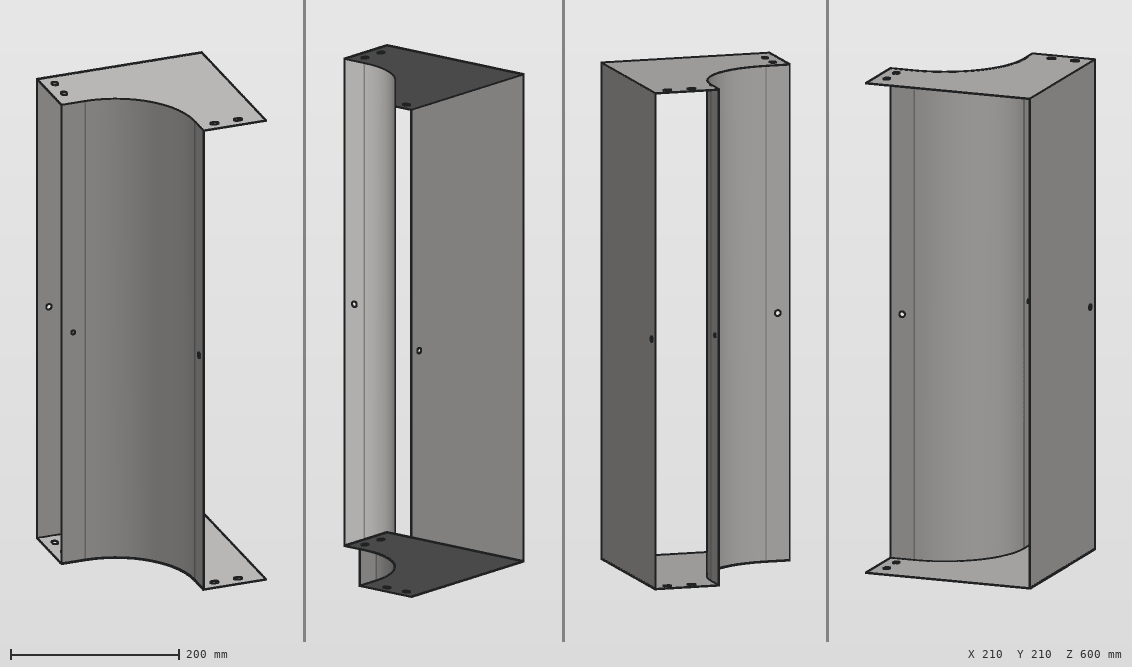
import cadquery as cq

SIDE = 210.0
HEIGHT = 600.0
SHEET = 1.0

DUCT_DEPTH = 80.0
BEND_RADIUS = 100.0

SLOT_COUNT = 2
SLOT_LENGTH = 10.0
SLOT_WIDTH = 7.0
SLOT_PITCH = 30.0
SLOT_END_DISTANCE = 15.0
FIRST_SLOT_FROM_LEFT = 20.0
FIRST_SLOT_FROM_BACK = 30.0

HOLE_END_DISTANCE = 15.0
WALL_HOLE_DIAMETER = 7.0
SMALL_HOLE_DIAMETER = 5.0


def bend_prism(depth, radius, bottom, height):
    """L-shaped prism with a rounded inner corner between its two straight ends."""
    straight = SIDE - depth - radius
    inner_y = SIDE - depth
    return (
        cq.Workplane("XY", origin=(0, 0, bottom))
        .lineTo(depth, 0)
        .lineTo(depth, straight)
        .radiusArc((depth + radius, inner_y), radius)
        .lineTo(SIDE, inner_y)
        .lineTo(SIDE, SIDE)
        .lineTo(0, SIDE)
        .close()
        .extrude(height)
    )


def inside_prism(bottom, height):
    """Prism that reaches the hidden face of the curved wall."""
    return bend_prism(DUCT_DEPTH - SHEET, BEND_RADIUS + SHEET, bottom, height)


def curved_wall():
    """Full-height wall that follows the bend and its straight ends."""
    return bend_prism(DUCT_DEPTH, BEND_RADIUS, 0, HEIGHT).cut(inside_prism(0, HEIGHT))


def flat_wall():
    """Full-height wall on the -X side; the +Y side and both ends stay open."""
    return cq.Workplane("XY").box(SHEET, SIDE, HEIGHT, centered=False)


def slot_cutter(centers, angle):
    """Vertical obround cutters through both plates."""
    return cq.Workplane("XY").pushPoints(centers).slot2D(SLOT_LENGTH, SLOT_WIDTH, angle).extrude(HEIGHT)


def plate_slots():
    """Slots along X at the -Y end and along Y at the +X end."""
    offsets = [i * SLOT_PITCH for i in range(SLOT_COUNT)]
    front_end = [(FIRST_SLOT_FROM_LEFT + d, SLOT_END_DISTANCE) for d in offsets]
    right_end = [(SIDE - SLOT_END_DISTANCE, SIDE - FIRST_SLOT_FROM_BACK - d) for d in offsets]
    return slot_cutter(front_end, 0).union(slot_cutter(right_end, 90))


def hole_along_x(wall_x, diameter):
    """Cutter for a hole near the -Y end, in a wall whose -X face is at wall_x."""
    plane = cq.Workplane("YZ", origin=(wall_x, HOLE_END_DISTANCE, HEIGHT / 2))
    return plane.circle(diameter / 2).extrude(SHEET)


def hole_along_y(wall_y, diameter):
    """Cutter for a hole near the +X end, in a wall whose -Y face is at wall_y."""
    plane = cq.Workplane("XZ", origin=(SIDE - HOLE_END_DISTANCE, wall_y, HEIGHT / 2))
    return plane.circle(diameter / 2).extrude(-SHEET)


bottom_plate = inside_prism(0, SHEET)
top_plate = inside_prism(HEIGHT - SHEET, SHEET)

result = (
    bottom_plate
    .union(top_plate)
    .union(flat_wall())
    .union(curved_wall())
    .cut(plate_slots())
    .cut(hole_along_x(0, WALL_HOLE_DIAMETER))
    .cut(hole_along_x(DUCT_DEPTH - SHEET, SMALL_HOLE_DIAMETER))
    .cut(hole_along_y(SIDE - DUCT_DEPTH, WALL_HOLE_DIAMETER))
)